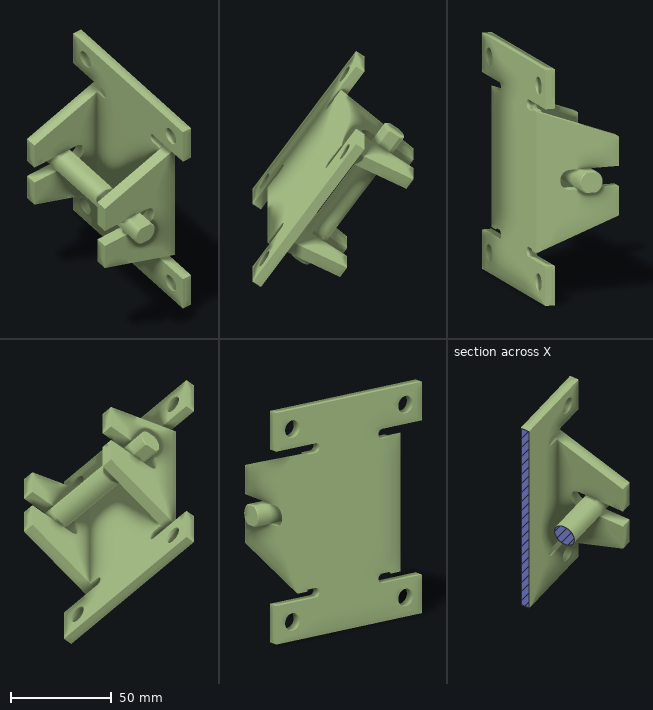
import cadquery as cq

PLATE_WIDTH = 90.0
PLATE_HEIGHT = 120.0
PLATE_THICKNESS = 5.0

HOLE_DIAMETER = 9.0
HOLE_SPACING_X = 70.0
HOLE_SPACING_Z = 100.0

FLANGE_HEIGHT = 20.0
RELIEF_WIDTH = 5.0
RELIEF_END_X = 18.2

EAR_OUTER_SPAN = 63.8
EAR_THICKNESS = 6.1
EAR_DEPTH = 43.7
EAR_BACK_HEIGHT = 72.0
EAR_FRONT_HEIGHT = 40.2
EAR_SLOT_WIDTH = 10.2
EAR_SLOT_END_DEPTH = 12.7

PIN_DIAMETER = 12.0
PIN_LENGTH = 83.0
PIN_DEPTH = 25.7
PIN_CORE_LENGTH = 47.8
PIN_END_CHAMFER = 0.4


def make_plate():
    """Flanged back plate with relief slots and four mounting holes."""
    blank = cq.Workplane("XY").box(PLATE_WIDTH, PLATE_THICKNESS, PLATE_HEIGHT)
    plate = blank.translate((0, -PLATE_THICKNESS / 2, 0))

    waist_half = EAR_OUTER_SPAN / 2 - EAR_THICKNESS
    side_height = PLATE_HEIGHT - 2 * FLANGE_HEIGHT
    side_width = PLATE_WIDTH / 2 - waist_half
    relief_radius = RELIEF_WIDTH / 2
    relief_z = PLATE_HEIGHT / 2 - FLANGE_HEIGHT - relief_radius
    relief_round_x = RELIEF_END_X + relief_radius
    relief_length = PLATE_WIDTH / 2 - relief_round_x

    cut_depth = 2 * PLATE_THICKNESS
    for side in (-1, 1):
        side_cut = cq.Workplane("XY").box(side_width, cut_depth, side_height)
        plate = plate.cut(side_cut.translate((side * (waist_half + side_width / 2), 0, 0)))
        for end in (-1, 1):
            channel = cq.Workplane("XY").box(relief_length, cut_depth, RELIEF_WIDTH)
            channel_x = side * (relief_round_x + relief_length / 2)
            plate = plate.cut(channel.translate((channel_x, 0, end * relief_z)))
            round_end = (
                cq.Workplane("XZ")
                .center(side * relief_round_x, end * relief_z)
                .circle(relief_radius)
                .extrude(PLATE_THICKNESS)
            )
            plate = plate.cut(round_end)

    holes = (
        cq.Workplane("XZ")
        .rect(HOLE_SPACING_X, HOLE_SPACING_Z, forConstruction=True)
        .vertices()
        .circle(HOLE_DIAMETER / 2)
        .extrude(PLATE_THICKNESS)
    )
    return plate.cut(holes)


def make_ear(side):
    """Tapered side ear with a round-ended slot open to the front."""
    ear = (
        cq.Workplane("YZ")
        .moveTo(0, -EAR_BACK_HEIGHT / 2)
        .lineTo(-EAR_DEPTH, -EAR_FRONT_HEIGHT / 2)
        .lineTo(-EAR_DEPTH, EAR_FRONT_HEIGHT / 2)
        .lineTo(0, EAR_BACK_HEIGHT / 2)
        .close()
        .extrude(EAR_THICKNESS / 2, both=True)
    )
    slot_radius = EAR_SLOT_WIDTH / 2
    round_y = -EAR_SLOT_END_DEPTH - slot_radius
    slot = (
        cq.Workplane("YZ")
        .moveTo(-EAR_DEPTH, -slot_radius)
        .lineTo(round_y, -slot_radius)
        .threePointArc((-EAR_SLOT_END_DEPTH, 0), (round_y, slot_radius))
        .lineTo(-EAR_DEPTH, slot_radius)
        .close()
        .extrude(EAR_THICKNESS, both=True)
    )
    ear_x = side * (EAR_OUTER_SPAN - EAR_THICKNESS) / 2
    return ear.cut(slot).translate((ear_x, 0, 0))


def make_pin():
    """Round pin whose ends have flats that touch the ear slot walls."""
    pin = (
        cq.Workplane("YZ", origin=(-PIN_LENGTH / 2, 0, 0))
        .circle(PIN_DIAMETER / 2)
        .extrude(PIN_LENGTH)
        .faces("<X or >X")
        .chamfer(PIN_END_CHAMFER)
    )
    flat_length = (PIN_LENGTH - PIN_CORE_LENGTH) / 2
    flat_x = (PIN_CORE_LENGTH + flat_length) / 2
    flat_z = (EAR_SLOT_WIDTH + PIN_DIAMETER) / 2
    for side in (-1, 1):
        for end in (-1, 1):
            flat_cut = cq.Workplane("XY").box(flat_length, PIN_DIAMETER, PIN_DIAMETER)
            pin = pin.cut(flat_cut.translate((side * flat_x, 0, end * flat_z)))
    return pin.translate((0, -PIN_DEPTH, 0))


result = make_plate().union(make_ear(-1)).union(make_ear(1)).union(make_pin())